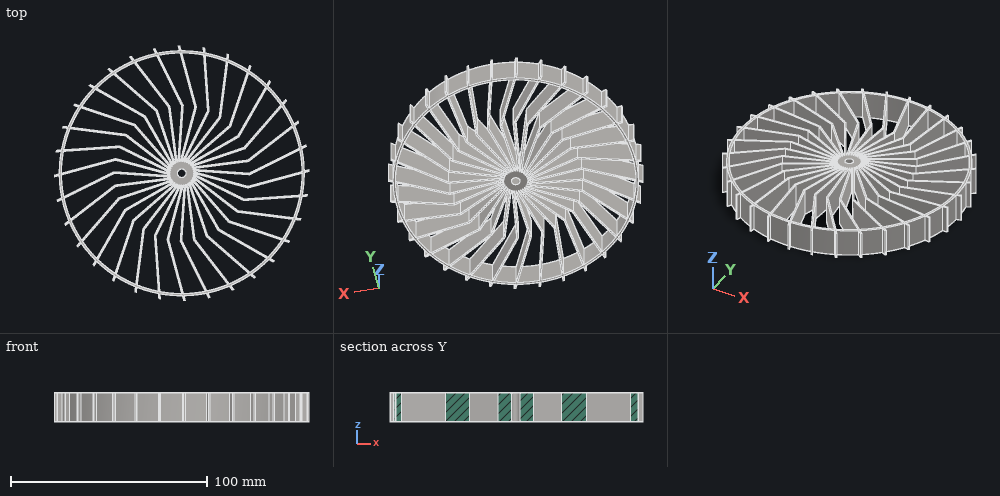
import cadquery as cq
import math

overall_width = 129.82
height = 15.0

bore_diameter = 4.3
hub_diameter = 12.3

rim_outer_diameter = 125.0
rim_thickness = 1.2

blade_count = 32
blade_pitch = 360 / blade_count
blade_thickness = 0.8
blade_lean = math.radians(15.2)
root_distance = 4.0
axis_crossing_distance = 7.65
bend_distance = 33.7
tip_distance = overall_width / 2


def ring(outer_diameter, inner_diameter):
    return cq.Workplane("XY").circle(outer_diameter / 2).circle(inner_diameter / 2).extrude(height)


def blade():
    """Bent blade near the +Y axis, with its root and tip cut square to that axis."""
    slope = math.tan(blade_lean)
    root_x = slope * (root_distance - axis_crossing_distance)
    bend_x = slope * (bend_distance - axis_crossing_distance)
    tip_x = bend_x - slope * (tip_distance - bend_distance)
    half_width = blade_thickness / 2 / math.cos(blade_lean)
    return (
        cq.Workplane("XY")
        .moveTo(root_x - half_width, root_distance)
        .lineTo(bend_x - half_width, bend_distance)
        .lineTo(tip_x - half_width, tip_distance)
        .lineTo(tip_x + half_width, tip_distance)
        .lineTo(bend_x + half_width, bend_distance)
        .lineTo(root_x + half_width, root_distance)
        .close()
        .extrude(height)
    )


hub = ring(hub_diameter, bore_diameter)
rim = ring(rim_outer_diameter, rim_outer_diameter - 2 * rim_thickness)
result = hub.union(rim)
for index in range(blade_count):
    result = result.union(blade().rotate((0, 0, 0), (0, 0, 1), index * blade_pitch))